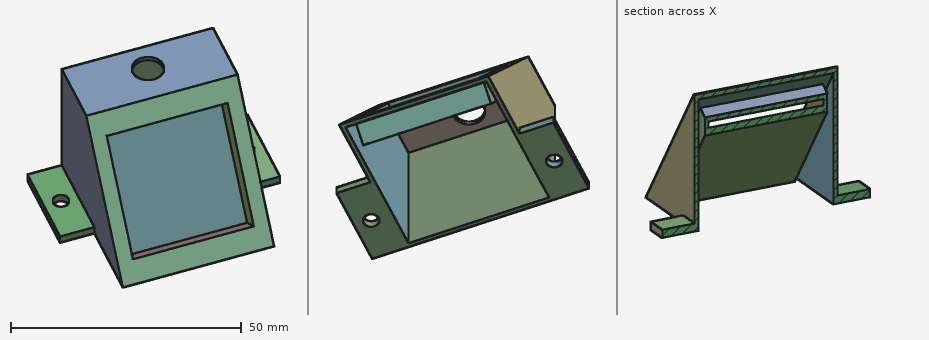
import cadquery as cq
import math

LENGTH = 37.45
HEIGHT = 32.0
OVERALL_WIDTH = 51.0

BODY_WIDTH = 35.1
TOP_LENGTH = 15.05
WALL = 1.0

EAR_LENGTH = 20.0
EAR_THICKNESS = 2.0
EAR_HOLE_DIAMETER = 3.5
EAR_WIDTH = (OVERALL_WIDTH - BODY_WIDTH) / 2

ROOF_HOLE_DIAMETER = 7.0
ROOF_HOLE_X = 6.5

RECESS_SIDE = 28.0
RECESS_DEPTH = 5.0

SLOPE_RUN = LENGTH - TOP_LENGTH
SLOPE_LENGTH = math.hypot(SLOPE_RUN, HEIGHT)

slope_plane = cq.Plane(
    origin=((TOP_LENGTH + LENGTH) / 2, 0, HEIGHT / 2),
    xDir=(0, 1, 0),
    normal=(HEIGHT, 0, SLOPE_RUN),
)


def wedge(points, width):
    """Extrude an XZ outline symmetrically about the Y centre plane."""
    return cq.Workplane("XZ").polyline(points).close().extrude(width / 2, both=True)


def sunk_block(side, depth):
    """Square block reaching from the middle of the slope into the housing."""
    return cq.Workplane(slope_plane).rect(side, side).extrude(-depth)


def make_outer():
    outline = [(0, 0), (LENGTH, 0), (TOP_LENGTH, HEIGHT), (0, HEIGHT)]
    return wedge(outline, BODY_WIDTH)


def make_cavity():
    """Space inside the walls, open at the bottom."""
    slope_shift = WALL * SLOPE_LENGTH / HEIGHT
    roof_z = HEIGHT - WALL
    roof_end = TOP_LENGTH + WALL * SLOPE_RUN / HEIGHT - slope_shift
    outline = [(WALL, 0), (LENGTH - slope_shift, 0), (roof_end, roof_z), (WALL, roof_z)]
    return wedge(outline, BODY_WIDTH - 2 * WALL)


def make_ear(side):
    center_y = side * (BODY_WIDTH + EAR_WIDTH) / 2
    return (
        cq.Workplane("XY")
        .center(EAR_LENGTH / 2, center_y)
        .rect(EAR_LENGTH, EAR_WIDTH)
        .circle(EAR_HOLE_DIAMETER / 2)
        .extrude(EAR_THICKNESS)
    )


def make_roof_hole():
    return (
        cq.Workplane("XY")
        .center(ROOF_HOLE_X, 0)
        .circle(ROOF_HOLE_DIAMETER / 2)
        .extrude(HEIGHT)
    )


tray = sunk_block(RECESS_SIDE + 2 * WALL, RECESS_DEPTH + WALL)
recess = sunk_block(RECESS_SIDE, RECESS_DEPTH)

result = make_outer().cut(make_cavity().cut(tray))
result = result.cut(recess).cut(make_roof_hole())
for ear_side in (-1, 1):
    result = result.union(make_ear(ear_side))